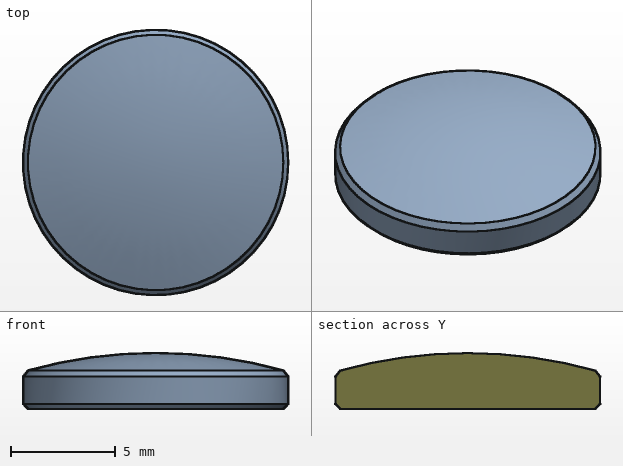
import cadquery as cq

diameter = 12.7
total_height = 2.69
dome_rise = 0.84
chamfer_width = 0.24
lower_chamfer_height = 0.25
upper_chamfer_height = 0.3

outer_radius = diameter / 2
rim_radius = outer_radius - chamfer_width
rim_height = total_height - dome_rise
wall_top = rim_height - upper_chamfer_height
dome_radius = (rim_radius**2 + dome_rise**2) / (2 * dome_rise)

mid_radius = rim_radius / 2
mid_height = total_height - dome_radius + (dome_radius**2 - mid_radius**2) ** 0.5

profile = (
    cq.Workplane("XZ")
    .lineTo(rim_radius, 0)
    .lineTo(outer_radius, lower_chamfer_height)
    .lineTo(outer_radius, wall_top)
    .lineTo(rim_radius, rim_height)
    .threePointArc((mid_radius, mid_height), (0, total_height))
    .close()
)

result = profile.revolve(360, (0, 0), (0, 1))